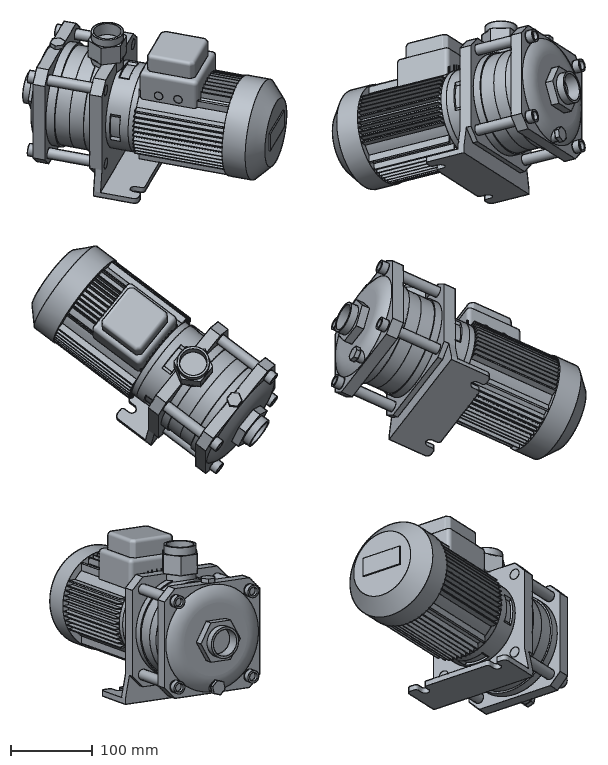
import cadquery as cq
import math

INLET_HEX_X = 10.0
DOME_X = 20.5
FRONT_PLATE_X = 29.3
FRONT_PLATE_END = 44.8
HEAD_END = 55.7
STAGE_END = 74.0
REAR_RING_X = 92.8
REAR_PLATE_X = 102.8
REAR_PLATE_END = 118.5
WINDOW_X = 123.7
WINDOW_END = 136.5
MOTOR_X = 147.5
FINS_X = 155.3
COWL_X = 271.3
CONE_X = 301.3
CONE_END = 320.3
TOTAL_LENGTH = 322.2

DOME_DIAMETER = 134.7
DOME_FACE_DIAMETER = 92.0
FRONT_RING_DIAMETER = 130.0
STAGE_DIAMETER = 125.0
REAR_RING_DIAMETER = 128.2
PLATE_WIDTH = 138.5
PLATE_CHAMFER = 15.0

PORT_DIAMETER = 39.5
PORT_BORE = 33.8
PORT_LIP = 10.0
PORT_BORE_DEPTH = 16.0
INLET_HEX_FLATS = 49.5
OUTLET_HEX_FLATS = 41.5
OUTLET_TOP = 103.7

PLUG_FLATS = 16.5
FILLER_PLUG_X = 38.7
FILLER_PLUG_TOP = 74.8
DRAIN_PLUG_X = 14.0
DRAIN_PLUG_HEX_LENGTH = 6.0
DRAIN_PLUG_DROP = 59.5
DRAIN_PLUG_TILT = 13.0
DRAIN_PLUG_SHANK = 15.0

BOLT_OFFSET = 53.8
BOLT_SHANK = 13.5
BOLT_HEAD = 15.8
BOLT_HEAD_LENGTH = 9.7
BOLT_SOCKET = 11.0
BOLT_SOCKET_DEPTH = 4.8

ADAPTER_DIAMETER = 110.0
WINDOW_FLOOR_DIAMETER = 103.7
WINDOW_WIDTH = 37.7
WINDOW_FLOOR_WIDTH = 29.5

AXIS_HEIGHT = 90.2
FOOT_X = 109.5
FOOT_END = 166.3
FOOT_WIDTH = 150.0
FOOT_THICKNESS = 7.0
FOOT_CORNER = 5.8
FOOT_SLOT_WIDTH = 11.0
FOOT_SLOT_OFFSET = 54.5
FOOT_SLOT_X = 150.5
FOOT_SLOT_MOUTH = 4.0

CORE_DIAMETER = 109.5
FIN_DIAMETER = 123.7
FIN_ROOT_THICKNESS = 2.5
FIN_TIP_THICKNESS = 0.5
FIN_ROOT_RADIUS = 43.5
SIDE_FINS = 11
OUTER_SIDE_FIN_OFFSET = 30.0
FIN_PITCH = 2 * OUTER_SIDE_FIN_OFFSET / (SIDE_FINS - 1)
TOP_FINS = 9
OUTER_TOP_FIN_OFFSET = 34.8
COWL_DIAMETER = 126.0
CONE_END_DIAMETER = 86.5
BADGE_WIDTH = 55.7
BADGE_HEIGHT = 24.5
BADGE_RISE = 3.0

BOX_X = 156.0
BOX_SIZE = 75.7
BOX_TOP = 77.5
BOX_FILLET = 5.0
LID_SIZE = 61.5
LID_TOP = 100.0
LID_CORNER = 4.8
LID_CORNER_ROUND = 2.5
LID_FILLET = 4.5
KNOCKOUT_DIAMETER = 11.0
KNOCKOUT_SPACING = 25.0
KNOCKOUT_HEIGHT = 48.5
KNOCKOUT_DEPTH = 0.3


def rod(start, end, diameter, y=0.0, z=0.0):
    """A cylinder along X from start to end."""
    return cq.Workplane("YZ", origin=(start, y, z)).circle(diameter / 2).extrude(end - start)


def hex_corner_diameter(flats):
    return flats / math.cos(math.radians(30))


def square_plate(start, end):
    """A square clamping plate with chamfered corners."""
    plate = cq.Workplane("YZ", origin=(start, 0, 0)).rect(PLATE_WIDTH, PLATE_WIDTH).extrude(end - start)
    return plate.edges("|X").chamfer(PLATE_CHAMFER)


def bolt_points():
    return [(y, z) for y in (-BOLT_OFFSET, BOLT_OFFSET) for z in (-BOLT_OFFSET, BOLT_OFFSET)]


def drill_bolt_holes(body, start, end):
    for y, z in bolt_points():
        body = body.cut(rod(start, end, BOLT_SHANK, y, z))
    return body


def make_dome():
    """Rounded front cover: a flat face blending into a bulged rim."""
    rise = FRONT_PLATE_X - DOME_X
    face_radius = DOME_FACE_DIAMETER / 2
    rim = DOME_DIAMETER / 2 - face_radius
    bulge = (rise**2 + rim**2) / (2 * rise)
    half_angle = math.asin(rim / bulge) / 2
    middle = (
        DOME_X + bulge * (1 - math.cos(half_angle)),
        face_radius + bulge * math.sin(half_angle),
    )
    return (
        cq.Workplane("XY")
        .moveTo(DOME_X, 0)
        .lineTo(DOME_X, face_radius)
        .threePointArc(middle, (FRONT_PLATE_X, DOME_DIAMETER / 2))
        .lineTo(FRONT_PLATE_X, 0)
        .close()
        .revolve(360, (0, 0, 0), (1, 0, 0))
    )


def make_filler_plug():
    bottom = PLATE_WIDTH / 2
    return (
        cq.Workplane("XY", origin=(FILLER_PLUG_X, 0, bottom))
        .transformed(rotate=(0, 0, 30))
        .polygon(6, hex_corner_diameter(PLUG_FLATS))
        .extrude(FILLER_PLUG_TOP - bottom)
    )


def make_drain_plug():
    hexagon = (
        cq.Workplane("YZ", origin=(DRAIN_PLUG_X, 0, -DRAIN_PLUG_DROP))
        .transformed(rotate=(0, 0, 90 - DRAIN_PLUG_TILT))
        .polygon(6, hex_corner_diameter(PLUG_FLATS))
        .extrude(DRAIN_PLUG_HEX_LENGTH)
    )
    shank = rod(DRAIN_PLUG_X, FRONT_PLATE_X, DRAIN_PLUG_SHANK, 0, -DRAIN_PLUG_DROP)
    return hexagon.union(shank)


def make_front_head():
    inlet_hex = (
        cq.Workplane("YZ", origin=(INLET_HEX_X, 0, 0))
        .polygon(6, hex_corner_diameter(INLET_HEX_FLATS))
        .extrude(DOME_X - INLET_HEX_X)
    )
    head = square_plate(FRONT_PLATE_X, FRONT_PLATE_END)
    head = drill_bolt_holes(head, FRONT_PLATE_X, FRONT_PLATE_END)
    head = head.union(rod(FRONT_PLATE_END, HEAD_END, FRONT_RING_DIAMETER))
    head = head.union(make_dome()).union(inlet_hex).union(rod(0, INLET_HEX_X, PORT_DIAMETER))
    head = head.cut(rod(0, PORT_BORE_DEPTH, PORT_BORE))
    return head.union(make_filler_plug()).union(make_drain_plug())


def make_stage():
    return rod(HEAD_END, STAGE_END, STAGE_DIAMETER)


def make_outlet():
    hex_bottom = PLATE_WIDTH / 2
    hex_top = OUTLET_TOP - PORT_LIP
    pipe = cq.Workplane("XY", origin=(REAR_PLATE_X, 0, 0)).circle(PORT_DIAMETER / 2).extrude(OUTLET_TOP)
    hexagon = (
        cq.Workplane("XY", origin=(REAR_PLATE_X, 0, hex_bottom))
        .transformed(rotate=(0, 0, 30))
        .polygon(6, hex_corner_diameter(OUTLET_HEX_FLATS))
        .extrude(hex_top - hex_bottom)
    )
    return pipe.union(hexagon)


def make_outlet_bore():
    return (
        cq.Workplane("XY", origin=(REAR_PLATE_X, 0, OUTLET_TOP - PORT_BORE_DEPTH))
        .circle(PORT_BORE / 2)
        .extrude(PORT_BORE_DEPTH)
    )


def make_windows():
    """Four shallow windows around the adapter, with sloping side walls."""
    floor_radius = WINDOW_FLOOR_DIAMETER / 2
    rim_radius = ADAPTER_DIAMETER / 2
    floor_edge = math.sqrt(floor_radius**2 - (WINDOW_FLOOR_WIDTH / 2) ** 2)
    rim_edge = math.sqrt(rim_radius**2 - (WINDOW_WIDTH / 2) ** 2)
    window = (
        cq.Workplane("YZ", origin=(WINDOW_X, 0, 0))
        .moveTo(-WINDOW_FLOOR_WIDTH / 2, floor_edge)
        .threePointArc((0, floor_radius), (WINDOW_FLOOR_WIDTH / 2, floor_edge))
        .lineTo(WINDOW_WIDTH / 2, rim_edge)
        .lineTo(WINDOW_WIDTH / 2, rim_radius)
        .lineTo(-WINDOW_WIDTH / 2, rim_radius)
        .lineTo(-WINDOW_WIDTH / 2, rim_edge)
        .close()
        .extrude(WINDOW_END - WINDOW_X)
    )
    return [window.rotate((0, 0, 0), (1, 0, 0), angle) for angle in (0, 90, 180, 270)]


def make_foot():
    """Upright web that widens downwards, and a base plate with two open slots."""
    base_top = FOOT_THICKNESS - AXIS_HEIGHT
    web_top = PLATE_CHAMFER - PLATE_WIDTH / 2
    web = (
        cq.Workplane("YZ", origin=(FOOT_X, 0, 0))
        .moveTo(-PLATE_WIDTH / 2, web_top)
        .lineTo(PLATE_WIDTH / 2, web_top)
        .lineTo(FOOT_WIDTH / 2, base_top)
        .lineTo(-FOOT_WIDTH / 2, base_top)
        .close()
        .extrude(REAR_PLATE_END - FOOT_X)
    )
    base = cq.Workplane("XY", origin=(0, 0, -AXIS_HEIGHT)).moveTo((FOOT_X + FOOT_END) / 2, 0)
    base = base.rect(FOOT_END - FOOT_X, FOOT_WIDTH).extrude(FOOT_THICKNESS)
    base = base.edges("|Z and >X").fillet(FOOT_CORNER)
    slot_radius = FOOT_SLOT_WIDTH / 2
    arc_x = FOOT_SLOT_X + slot_radius
    for y in (-FOOT_SLOT_OFFSET, FOOT_SLOT_OFFSET):
        slot = (
            cq.Workplane("XY", origin=(0, y, -AXIS_HEIGHT))
            .moveTo(FOOT_END, -slot_radius)
            .lineTo(arc_x, -slot_radius)
            .threePointArc((FOOT_SLOT_X, 0), (arc_x, slot_radius))
            .lineTo(FOOT_END, slot_radius)
            .close()
            .extrude(FOOT_THICKNESS)
        )
        base = base.cut(slot)
    mouth_reach = FOOT_SLOT_OFFSET + FOOT_SLOT_WIDTH
    mouth_box = cq.selectors.BoxSelector(
        (FOOT_END - FOOT_THICKNESS / 2, -mouth_reach, -AXIS_HEIGHT),
        (FOOT_END + FOOT_THICKNESS / 2, mouth_reach, base_top),
    )
    base = base.edges("|Z").edges(mouth_box).fillet(FOOT_SLOT_MOUTH)
    return base.union(web)


def make_rear_casing():
    casing = square_plate(REAR_PLATE_X, REAR_PLATE_END)
    casing = casing.union(rod(STAGE_END, REAR_RING_X, STAGE_DIAMETER))
    casing = casing.union(rod(REAR_RING_X, REAR_PLATE_X, REAR_RING_DIAMETER))
    casing = casing.union(rod(REAR_PLATE_END, MOTOR_X, ADAPTER_DIAMETER))
    casing = casing.union(make_outlet()).cut(make_outlet_bore())
    for window in make_windows():
        casing = casing.cut(window)
    casing = casing.union(make_foot())
    return drill_bolt_holes(casing, REAR_PLATE_X, REAR_PLATE_END)


def make_tie_bolt(y, z):
    head_x = FRONT_PLATE_X - BOLT_HEAD_LENGTH
    bolt = rod(FRONT_PLATE_X, REAR_PLATE_END, BOLT_SHANK, y, z)
    bolt = bolt.union(rod(head_x, FRONT_PLATE_X, BOLT_HEAD, y, z))
    return bolt.cut(rod(head_x, head_x + BOLT_SOCKET_DEPTH, BOLT_SOCKET, y, z))


def centred_offsets(count):
    return [FIN_PITCH * (i - (count - 1) / 2) for i in range(count)]


def make_fin(offset):
    """One upright fin above the axis: its outward side is straight, the side facing the middle tapers."""
    half_root = FIN_ROOT_THICKNESS / 2
    taper = FIN_ROOT_THICKNESS - FIN_TIP_THICKNESS
    if abs(offset) < FIN_PITCH / 2:
        left_taper = right_taper = taper / 2
    else:
        left_taper = taper if offset > 0 else 0
        right_taper = taper - left_taper
    tip_radius = FIN_DIAMETER / 2
    return (
        cq.Workplane("YZ", origin=(FINS_X, offset, 0))
        .moveTo(-half_root, 0)
        .lineTo(-half_root, FIN_ROOT_RADIUS)
        .lineTo(left_taper - half_root, tip_radius)
        .lineTo(half_root - right_taper, tip_radius)
        .lineTo(half_root, FIN_ROOT_RADIUS)
        .lineTo(half_root, 0)
        .close()
        .extrude(COWL_X - FINS_X)
    )


def make_finned_frame():
    """Motor core with straight fins: upright ones above and below, level ones on both sides."""
    frame = rod(FINS_X, COWL_X, CORE_DIAMETER)
    top_offsets = [-OUTER_TOP_FIN_OFFSET, *centred_offsets(TOP_FINS), OUTER_TOP_FIN_OFFSET]
    side_offsets = centred_offsets(SIDE_FINS)
    for angle, offsets in ((0, top_offsets), (90, side_offsets), (180, top_offsets), (270, side_offsets)):
        for offset in offsets:
            frame = frame.union(make_fin(offset).rotate((0, 0, 0), (1, 0, 0), angle))
    return frame.intersect(rod(FINS_X, COWL_X, FIN_DIAMETER))


def make_cowl():
    """Fan cowl with a conical end and a plain raised badge."""
    cowl = (
        cq.Workplane("XY")
        .moveTo(COWL_X, 0)
        .lineTo(COWL_X, COWL_DIAMETER / 2)
        .lineTo(CONE_X, COWL_DIAMETER / 2)
        .lineTo(CONE_END, CONE_END_DIAMETER / 2)
        .lineTo(CONE_END, 0)
        .close()
        .revolve(360, (0, 0, 0), (1, 0, 0))
    )
    badge = (
        cq.Workplane("YZ", origin=(CONE_END, 0, BADGE_RISE))
        .rect(BADGE_WIDTH, BADGE_HEIGHT)
        .extrude(TOTAL_LENGTH - CONE_END)
    )
    return cowl.union(badge)


def make_terminal_box():
    centre_x = BOX_X + BOX_SIZE / 2
    box = cq.Workplane("XY", origin=(centre_x, 0, 0)).rect(BOX_SIZE, BOX_SIZE).extrude(BOX_TOP)
    box = box.edges("|Z").fillet(BOX_FILLET).faces(">Z").edges().fillet(BOX_FILLET)
    lid = cq.Workplane("XY", origin=(centre_x, 0, 0)).rect(LID_SIZE, LID_SIZE).extrude(LID_TOP)
    lid = lid.edges("|Z").chamfer(LID_CORNER).edges("|Z").fillet(LID_CORNER_ROUND)
    lid = lid.faces(">Z").edges().fillet(LID_FILLET)
    knockouts = (
        cq.Workplane("XZ", origin=(centre_x, -BOX_SIZE / 2, KNOCKOUT_HEIGHT))
        .pushPoints([(-KNOCKOUT_SPACING / 2, 0), (KNOCKOUT_SPACING / 2, 0)])
        .circle(KNOCKOUT_DIAMETER / 2)
        .extrude(-KNOCKOUT_DEPTH)
    )
    return box.union(lid).cut(knockouts)


def make_motor():
    motor = make_finned_frame().union(rod(MOTOR_X, FINS_X, ADAPTER_DIAMETER))
    return motor.union(make_cowl()).union(make_terminal_box())


front_head = make_front_head()
stage = make_stage()
rear_casing = make_rear_casing()
motor = make_motor()
tie_bolts = [make_tie_bolt(y, z) for y, z in bolt_points()]

result = cq.Compound.makeCompound(
    [
        front_head.val(),
        stage.val(),
        rear_casing.val(),
        motor.val(),
        *[bolt.val() for bolt in tie_bolts],
    ]
)